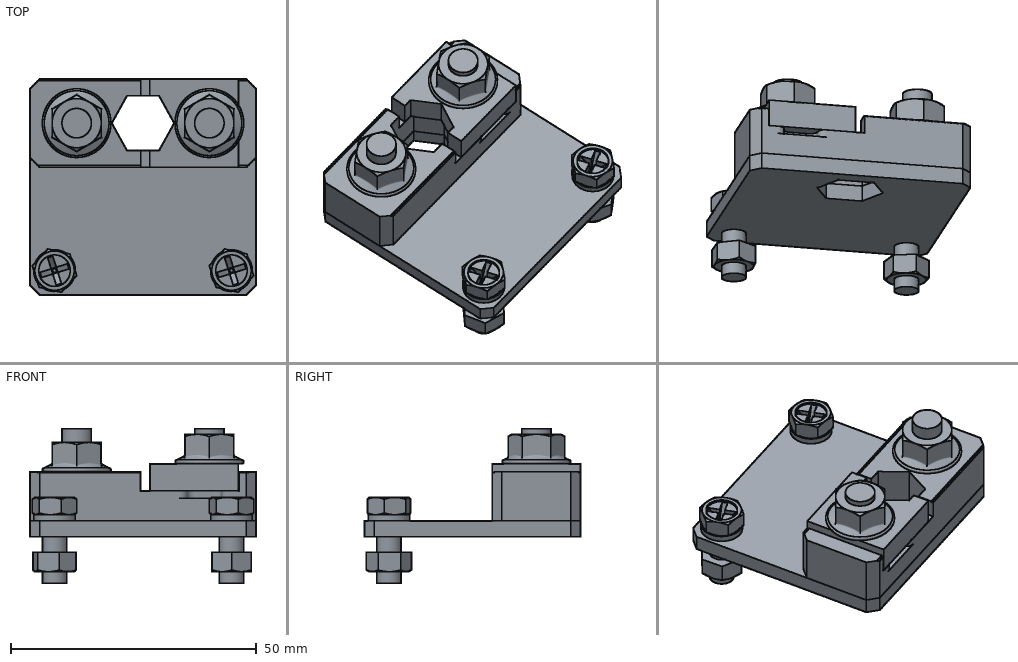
import cadquery as cq
import math


plate_width = 46.0
plate_depth = 44.0
plate_thickness = 3.25
corner_chamfer = 2.0

block_depth = 18.0
block_top = 13.2
block_ledge_width = 0.4
block_ledge_drop = 0.2
seat_left = -0.5
seat_right = 19.5
seat_floor = 9.35

pocket_center_x = 12.5
pocket_flat_half = 2.0
pocket_radius = 1.5
pocket_floor = 7.8

jaw_left = 1.4
jaw_length = 18.0
jaw_thickness = 5.5

opening_flat_half = 3.25
opening_tip = 6.33
opening_half_height = 5.55
opening_travel = 1.0

stud_spacing = 27.0
stud_diameter = 6.0
stud_top = 22.0
flange_nut_height = 6.0
flange_nut_flats = 10.0
flange_diameter = 14.0
flange_rim_height = 0.8
flange_rim_radius = 0.4
flange_cone_top = 1.9
flange_cone_radius = 4.5
flange_root_fillet = 0.25

screw_spacing = 36.0
screw_inset = 5.0
screw_diameter = 5.0
screw_bottom = -9.5
collar_diameter = 8.5
collar_height = 1.25
head_height = 3.5
head_flats = 8.0
head_turn = 17.5

dish_diameter = 6.4
dish_depth = 0.4
cross_width = 1.1
cross_reach = 2.9
cross_waist = 1.1
cross_tip = 0.5
cross_waist_depth = 2.4
cross_depth = 2.9
cross_pit_diameter = 0.8
cross_pit_depth = 0.2

nut_flats = 8.0
nut_height = 4.0
nut_top = -3.1
nut_turns = (12.5, 1.3)

hex_sides = 6
half_side_angle = 180.0 / hex_sides
chamfer_angle = 30.0

rear_y = block_depth / 2
front_y = rear_y - plate_depth
block_front_y = -block_depth / 2
jaw_top = seat_floor + jaw_thickness
stud_x = stud_spacing / 2
screw_x = screw_spacing / 2
screw_y = front_y + screw_inset
screw_places = [(-screw_x, screw_y), (screw_x, screw_y)]
stud_places = [(-stud_x, 0), (stud_x, 0)]


def box(x_min, x_max, y_min, y_max, z_min, z_max):
    size = (x_max - x_min, y_max - y_min, z_max - z_min)
    return cq.Workplane("XY").box(*size, centered=False).translate((x_min, y_min, z_min))


def cylinders(places, diameter, z_min, z_max):
    base = cq.Workplane("XY").workplane(offset=z_min).pushPoints(places)
    return base.circle(diameter / 2).extrude(z_max - z_min)


def opening(z_min, z_max, stretch=0.0):
    """Six-sided opening whose +X half is moved outward by `stretch`."""
    points = [
        (-opening_tip, 0),
        (-opening_flat_half, -opening_half_height),
        (opening_flat_half + stretch, -opening_half_height),
        (opening_tip + stretch, 0),
        (opening_flat_half + stretch, opening_half_height),
        (-opening_flat_half, opening_half_height),
    ]
    return cq.Workplane("XY").workplane(offset=z_min).polyline(points).close().extrude(z_max - z_min)


def hexagon(flats, height, turn, chamfer_bottom, chamfer_top):
    """Hexagonal prism on z = 0 with flats at +X and -X before the turn, chosen ends coned."""
    corner = flats / 2 / math.cos(math.pi / hex_sides)
    drop = (corner - flats / 2) * math.tan(math.radians(chamfer_angle))
    bottom_radius = flats / 2 if chamfer_bottom else corner
    top_radius = flats / 2 if chamfer_top else corner
    trim = (
        cq.Workplane("XZ")
        .polyline([
            (0, 0),
            (bottom_radius, 0),
            (corner, drop),
            (corner, height - drop),
            (top_radius, height),
            (0, height),
        ])
        .close()
        .revolve(360, (0, 0, 0), (0, 1, 0))
    )
    prism = cq.Workplane("XY").polygon(hex_sides, 2 * corner).extrude(height)
    return prism.rotate((0, 0, 0), (0, 0, 1), turn + half_side_angle).intersect(trim)


def make_plate():
    """Base plate with the two clamp studs standing on it."""
    plate = box(-plate_width / 2, plate_width / 2, front_y, rear_y, 0, plate_thickness)
    plate = plate.edges("|Z").chamfer(corner_chamfer)
    plate = plate.cut(opening(0, plate_thickness, opening_travel))
    plate = plate.cut(cylinders(screw_places, screw_diameter, 0, plate_thickness))
    return plate.union(cylinders(stud_places, stud_diameter, 0, stud_top))


def make_pocket():
    """Pocket in the front of the seat, its ends swept in by two tangent quarter rounds."""
    r = pocket_radius
    bend = r * math.sqrt(0.5)
    flat = pocket_flat_half
    mouth = flat + 2 * r
    y = block_front_y
    back = y + 2 * r
    return (
        cq.Workplane("XY")
        .workplane(offset=pocket_floor)
        .moveTo(-mouth, y)
        .threePointArc((-mouth + bend, y + r - bend), (-flat - r, y + r))
        .threePointArc((-flat - bend, back - r + bend), (-flat, back))
        .lineTo(flat, back)
        .threePointArc((flat + bend, back - r + bend), (flat + r, y + r))
        .threePointArc((mouth - bend, y + r - bend), (mouth, y))
        .close()
        .extrude(seat_floor - pocket_floor)
        .translate((pocket_center_x, 0, 0))
    )


def make_block():
    block = box(-plate_width / 2, plate_width / 2, block_front_y, rear_y, plate_thickness, block_top)
    block = block.edges("|Z").chamfer(corner_chamfer)
    ledge = box(
        -plate_width / 2, plate_width / 2,
        rear_y - block_ledge_width, rear_y,
        block_top - block_ledge_drop, block_top,
    )
    block = block.cut(ledge).cut(ledge.mirror("XZ"))
    block = block.cut(box(seat_left, seat_right, block_front_y, rear_y, seat_floor, block_top))
    block = block.cut(opening(plate_thickness, block_top, opening_travel))
    block = block.cut(cylinders(stud_places, stud_diameter, plate_thickness, block_top))
    pocket = make_pocket()
    return block.cut(pocket).cut(pocket.mirror("XZ"))


def make_jaw():
    jaw = box(jaw_left, jaw_left + jaw_length, block_front_y, rear_y, seat_floor, jaw_top)
    jaw = jaw.cut(opening(seat_floor, jaw_top))
    return jaw.cut(cylinders(stud_places, stud_diameter, seat_floor, jaw_top))


def make_flange_nut():
    """Hex nut with a round-edged conical flange, seated on z = 0."""
    rim = flange_diameter / 2
    bend = flange_rim_height / 2
    flange = (
        cq.Workplane("XZ")
        .moveTo(0, 0)
        .lineTo(rim - flange_rim_radius, 0)
        .threePointArc((rim, bend), (rim - flange_rim_radius, flange_rim_height))
        .lineTo(flange_cone_radius, flange_cone_top)
        .lineTo(0, flange_cone_top)
        .close()
        .revolve(360, (0, 0, 0), (0, 1, 0))
    )
    nut = hexagon(flange_nut_flats, flange_nut_height, 0, False, True).union(flange)
    reach = rim - flange_rim_radius
    root_zone = cq.selectors.BoxSelector(
        (-reach, -reach, (flange_rim_height + flange_cone_top) / 2),
        (reach, reach, flange_cone_top),
    )
    nut = nut.edges(root_zone).fillet(flange_root_fillet)
    return nut.cut(cylinders([(0, 0)], stud_diameter, 0, flange_nut_height))


def make_cross_recess():
    """Cross recess below z = 0 whose arms slope in towards the middle."""
    arm = (
        cq.Workplane("XZ")
        .polyline([
            (-cross_reach, 0),
            (-cross_waist, -cross_waist_depth),
            (-cross_tip, -cross_depth),
            (cross_tip, -cross_depth),
            (cross_waist, -cross_waist_depth),
            (cross_reach, 0),
        ])
        .close()
        .extrude(cross_width / 2, both=True)
    )
    pit = cylinders([(0, 0)], cross_pit_diameter, -cross_depth - cross_pit_depth, 0)
    return arm.union(arm.rotate((0, 0, 0), (0, 0, 1), 90)).union(pit)


def make_screw():
    """Hex screw with a collar under its head, standing on the plate."""
    collar_top = plate_thickness + collar_height
    head_top = collar_top + head_height
    dish_floor = head_top - dish_depth
    screw = cylinders([(0, 0)], screw_diameter, screw_bottom, collar_top)
    screw = screw.union(cylinders([(0, 0)], collar_diameter, plate_thickness, collar_top))
    head = hexagon(head_flats, head_height, head_turn, True, True)
    screw = screw.union(head.translate((0, 0, collar_top)))
    screw = screw.cut(cylinders([(0, 0)], dish_diameter, dish_floor, head_top))
    recess = make_cross_recess().rotate((0, 0, 0), (0, 0, 1), head_turn)
    return screw.cut(recess.translate((0, 0, dish_floor)))


def make_hex_nut(turn):
    nut = hexagon(nut_flats, nut_height, turn, True, False)
    return nut.cut(cylinders([(0, 0)], screw_diameter, 0, nut_height))


plate = make_plate()
block = make_block()
jaw = make_jaw()

flange_nuts = []
for (x, y), seat in zip(stud_places, (block_top, jaw_top)):
    flange_nuts.append(make_flange_nut().translate((x, y, seat)).val())

screws = []
hex_nuts = []
for (x, y), turn in zip(screw_places, nut_turns):
    screws.append(make_screw().translate((x, y, 0)).val())
    hex_nuts.append(make_hex_nut(turn).translate((x, y, nut_top - nut_height)).val())

result = cq.Compound.makeCompound([
    plate.val(),
    block.val(),
    jaw.val(),
    *flange_nuts,
    *screws,
    *hex_nuts,
])